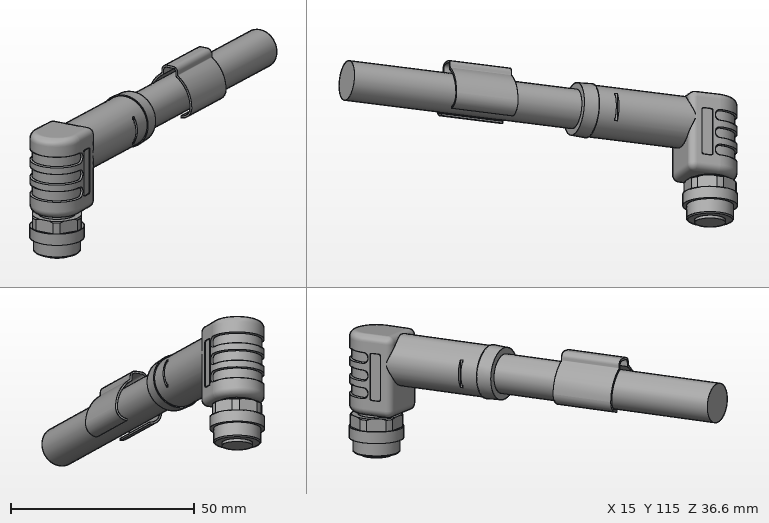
import cadquery as cq
import math


cable_diameter = 10.9
cable_end_y = 107.5

sleeve_diameter = 14.3
collar_diameter = 15.0
collar_end_diameter = 14.5
collar_start_y = 35.9
sleeve_end_y = 40.2
notch_center_y = 30.4
notch_width = 0.8
notch_floor_x = 6.0

elbow_radius = 7.4
elbow_back_width = 14.3
elbow_back_y = 8.7
elbow_top_z = 7.5
elbow_bottom_z = -15.3
elbow_fillet = 2.0

groove_count = 3
groove_pitch = 5.0
top_groove_z = 1.0
groove_width = 3.1
groove_depth = 0.6
groove_wall_taper = 0.2

panel_center_y = 3.8
panel_length = 3.2
panel_height = 13.2
panel_center_z = -4.0
panel_corner_radius = 0.6
panel_floor_x = 7.0

neck_diameter = 10.1
carrier_diameter = 8.4
carrier_bottom_z = -27.6

nut_top_z = -16.1
flange_top_z = -19.5
flange_bottom_z = -22.8
nut_bottom_z = -26.8
flange_diameter = 15.0
barrel_diameter = 12.9
hex_sides = 6
hex_across_flats = 13.3
hex_corner_diameter = 14.4
hex_chamfer = 0.3
barrel_chamfer = 0.3

clip_start_y = 59.8
clip_length = 18.2
clip_thickness = 0.6
clip_half_width = 7.0
clip_widest_z = -2.0
clip_flank_radius = 10.2
clip_foot_radius = 3.5
clip_arch_top_z = 9.0
clip_arch_half_width = 2.5
clip_arch_corner_radius = 1.6
clip_root_fillet = 0.3


def cylinder_along_z(diameter, bottom_z, top_z):
    return cq.Workplane("XY").workplane(offset=bottom_z).circle(diameter / 2).extrude(top_z - bottom_z)


def cylinder_along_y(diameter, start_y, end_y):
    return cq.Workplane("XZ", origin=(0, start_y, 0)).circle(diameter / 2).extrude(start_y - end_y)


def make_cable():
    return cylinder_along_y(cable_diameter, sleeve_end_y, cable_end_y)


def make_elbow_block():
    """Upright block with a half-round front, flat flanks and rounded edges."""
    back_x = elbow_back_width / 2
    return (
        cq.Workplane("XY")
        .workplane(offset=elbow_bottom_z)
        .moveTo(elbow_radius, 0)
        .lineTo(back_x, elbow_back_y)
        .lineTo(-back_x, elbow_back_y)
        .lineTo(-elbow_radius, 0)
        .threePointArc((0, -elbow_radius), (elbow_radius, 0))
        .close()
        .extrude(elbow_top_z - elbow_bottom_z)
        .faces(">Y or >Z or <Z")
        .edges()
        .fillet(elbow_fillet)
    )


def make_sleeve():
    """Round sleeve and tapered collar, with one narrow notch on each side."""
    sleeve = cylinder_along_y(sleeve_diameter, 0, collar_start_y)
    collar = (
        cq.Workplane("XZ", origin=(0, collar_start_y, 0))
        .circle(collar_diameter / 2)
        .workplane(offset=collar_start_y - sleeve_end_y)
        .circle(collar_end_diameter / 2)
        .loft()
    )
    sleeve = sleeve.union(collar)
    for side in (-1, 1):
        notch = cq.Workplane("XY").box(sleeve_diameter, notch_width, sleeve_diameter).translate(
            (side * (notch_floor_x + sleeve_diameter / 2), notch_center_y, 0)
        )
        sleeve = sleeve.cut(notch)
    return sleeve


def make_groove_cutter(center_z):
    """Tapered groove around the round front, with a conical round end on each flank."""
    rim_half = groove_width / 2
    floor_half = rim_half - groove_wall_taper
    floor_radius = elbow_radius - groove_depth
    outer_radius = elbow_radius + groove_depth
    outer_half = rim_half + groove_wall_taper
    cutter = (
        cq.Workplane("XZ")
        .polyline([
            (floor_radius, -floor_half),
            (outer_radius, -outer_half),
            (outer_radius, outer_half),
            (floor_radius, floor_half),
        ])
        .close()
        .revolve(180, (0, 0, 0), (0, -1, 0))
    )
    for side in (-1, 1):
        end = cq.Solid.makeCone(
            floor_half, outer_half, outer_radius - floor_radius,
            pnt=cq.Vector(side * floor_radius, 0, 0), dir=cq.Vector(side, 0, 0),
        )
        cutter = cutter.union(cq.Workplane(obj=end))
    return cutter.translate((0, 0, center_z))


def make_panel_cutter(side):
    cutter_depth = elbow_radius - panel_floor_x
    return (
        cq.Workplane("XY")
        .box(cutter_depth, panel_length, panel_height)
        .edges("|X")
        .fillet(panel_corner_radius)
        .translate((side * (panel_floor_x + cutter_depth / 2), panel_center_y, panel_center_z))
    )


def make_housing():
    """Elbow, sleeve, neck and contact carrier moulded as one piece."""
    housing = make_elbow_block().union(make_sleeve())
    for index in range(groove_count):
        housing = housing.cut(make_groove_cutter(top_groove_z - index * groove_pitch))
    for side in (-1, 1):
        housing = housing.cut(make_panel_cutter(side))
    inside_elbow_z = elbow_bottom_z + elbow_fillet
    neck = cylinder_along_z(neck_diameter, nut_top_z, inside_elbow_z)
    carrier = cylinder_along_z(carrier_diameter, carrier_bottom_z, nut_top_z)
    return housing.union(neck).union(carrier)


def make_nut():
    """Coupling nut with a turned-down hexagon, a flange and a round barrel."""
    hex_height = nut_top_z - flange_top_z
    hexagon = (
        cq.Workplane("XY")
        .workplane(offset=flange_top_z)
        .polygon(hex_sides, hex_across_flats, circumscribed=True)
        .extrude(hex_height)
        .rotate((0, 0, 0), (0, 0, 1), 180 / hex_sides)
    )
    turned_blank = (
        cylinder_along_z(hex_corner_diameter, flange_top_z, nut_top_z).faces(">Z").chamfer(hex_chamfer)
    )
    flange = cylinder_along_z(flange_diameter, flange_bottom_z, flange_top_z)
    barrel = (
        cylinder_along_z(barrel_diameter, nut_bottom_z, flange_bottom_z).faces("<Z").chamfer(barrel_chamfer)
    )
    bore = cylinder_along_z(carrier_diameter, nut_bottom_z, nut_top_z)
    return hexagon.intersect(turned_blank).union(flange).union(barrel).cut(bore)


def make_clip_core(inset):
    """Solid of the clip's closed outline, moved inward by the inset."""
    flank_radius = clip_flank_radius - inset
    foot_radius = clip_foot_radius - inset
    corner_radius = clip_arch_corner_radius - inset
    side_x = clip_half_width - inset
    arch_x = clip_arch_half_width - inset
    arch_top = clip_arch_top_z - inset
    arch_flat_x = arch_x - corner_radius
    arch_side_z = arch_top - corner_radius
    flank_center_x = clip_half_width - clip_flank_radius
    foot_center_x = clip_half_width - clip_foot_radius
    flank_angle = math.acos((arch_x - flank_center_x) / flank_radius)
    flank_top_z = clip_widest_z + flank_radius * math.sin(flank_angle)
    flank_mid = (
        flank_center_x + flank_radius * math.cos(flank_angle / 2),
        clip_widest_z + flank_radius * math.sin(flank_angle / 2),
    )
    diagonal = math.sqrt(0.5)
    half = (
        cq.Workplane("XZ", origin=(0, clip_start_y, 0))
        .moveTo(0, arch_top)
        .lineTo(arch_flat_x, arch_top)
        .threePointArc(
            (arch_flat_x + corner_radius * diagonal, arch_side_z + corner_radius * diagonal),
            (arch_x, arch_side_z),
        )
        .lineTo(arch_x, flank_top_z)
        .threePointArc(flank_mid, (side_x, clip_widest_z))
        .threePointArc(
            (foot_center_x + foot_radius * diagonal, clip_widest_z - foot_radius * diagonal),
            (foot_center_x, clip_widest_z - foot_radius),
        )
        .lineTo(0, clip_widest_z - foot_radius)
        .close()
        .extrude(-clip_length)
    )
    return half.union(half.mirror("YZ"))


def make_clip():
    """Thin sprung strip with an arch on top, filleted at its roots and open between its two feet."""
    foot_opening = 2 * (clip_half_width - clip_foot_radius)
    opening = cq.Workplane("XY").box(foot_opening, clip_length, 2 * clip_foot_radius).translate(
        (0, clip_start_y + clip_length / 2, clip_widest_z - clip_foot_radius)
    )
    body = make_clip_core(0)
    root_x = clip_arch_half_width + clip_root_fillet
    root_top_z = clip_arch_top_z - clip_arch_corner_radius - clip_root_fillet
    arch_roots = cq.selectors.BoxSelector(
        (-root_x, clip_start_y, 0),
        (root_x, clip_start_y + clip_length, root_top_z),
    )
    body = body.edges("|Y").edges(arch_roots).fillet(clip_root_fillet)
    return body.cut(make_clip_core(clip_thickness)).cut(opening)


cable = make_cable()
housing = make_housing()
nut = make_nut()
clip = make_clip()

result = cq.Compound.makeCompound([cable.val(), housing.val(), nut.val(), clip.val()])